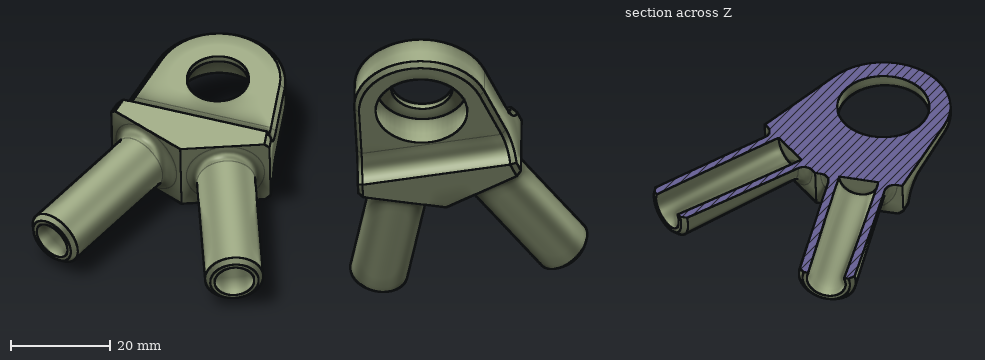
import cadquery as cq
import math

eye_diameter = 12.5
seat_diameter = 18.5
lip_thickness = 1.45
eye_outer_radius = 13.6
side_taper = 9.5
plate_thickness = 8.0
edge_chamfer = 1.0

block_thickness = 16.0
step_radius = 5.0
step_start_y = -9.8
nose_tip_y = -24.5
nose_angle = 21.4

stem_diameter = 11.8
stem_bore = 8.0
stem_length = 30.0
stem_end_chamfer = 1.0
stem_root_radius = 2.0

tilt_about_x = 3.1
turn_about_z = 0.5

half_plate = plate_thickness / 2
half_block = block_thickness / 2
taper = math.radians(side_taper)
nose = math.radians(nose_angle)

tangent_x = eye_outer_radius * math.cos(taper)
tangent_y = eye_outer_radius * math.sin(taper)

side_slope = math.tan(taper)
nose_slope = math.tan(nose)
corner_x = (tangent_x + (tangent_y - nose_tip_y) * side_slope) / (1 + nose_slope * side_slope)
corner_y = nose_tip_y + corner_x * nose_slope


def make_outline():
    """Prism with the plan shape of plate and block, at full block thickness."""
    return (
        cq.Workplane("XY")
        .workplane(offset=-half_block)
        .moveTo(0, nose_tip_y)
        .lineTo(corner_x, corner_y)
        .lineTo(tangent_x, tangent_y)
        .threePointArc((0, eye_outer_radius), (-tangent_x, tangent_y))
        .lineTo(-corner_x, corner_y)
        .close()
        .extrude(block_thickness)
    )


def make_profile():
    """Side profile of plate and block, wide enough to cover the outline."""
    step_rise = half_block - half_plate
    arc_center_z = half_plate + step_radius
    step_run = math.sqrt(step_radius**2 - (step_radius - step_rise) ** 2)
    step_end_y = step_start_y - step_run
    mid_angle = math.asin(step_run / step_radius) / 2
    mid_y = step_start_y - step_radius * math.sin(mid_angle)
    mid_z = arc_center_z - step_radius * math.cos(mid_angle)
    return (
        cq.Workplane("YZ")
        .moveTo(eye_outer_radius, -half_plate)
        .lineTo(eye_outer_radius, half_plate)
        .lineTo(step_start_y, half_plate)
        .threePointArc((mid_y, mid_z), (step_end_y, half_block))
        .lineTo(nose_tip_y, half_block)
        .lineTo(nose_tip_y, -half_block)
        .lineTo(step_end_y, -half_block)
        .threePointArc((mid_y, -mid_z), (step_start_y, -half_plate))
        .close()
        .extrude(corner_x, both=True)
    )


def make_eye():
    """Void of the eye: a mouth in the upper face over a wider seat open below."""
    mouth = cq.Workplane("XY").circle(eye_diameter / 2).extrude(half_plate)
    seat = (
        cq.Workplane("XY")
        .workplane(offset=-half_plate)
        .circle(seat_diameter / 2)
        .extrude(plate_thickness - lip_thickness)
    )
    return mouth.union(seat)


def make_body():
    """Plate and block with chamfered outer edges and the eye hole."""
    body = make_outline().intersect(make_profile())
    reach = 2 * eye_outer_radius
    outer_walls = cq.selectors.BoxSelector(
        (-reach, corner_y, -half_plate / 2), (reach, reach, half_plate / 2)
    )
    rims = body.faces(outer_walls).edges("not |Z")
    return rims.chamfer(edge_chamfer).cut(make_eye())


def stem_plane(side):
    """Plane on a nose face, centred on it, with its normal along the stem."""
    return cq.Plane(
        origin=(side * corner_x / 2, (nose_tip_y + corner_y) / 2, 0),
        xDir=(0, 0, 1),
        normal=(side * math.sin(nose), -math.cos(nose), 0),
    )


def make_root(plane):
    """Disc with a concave rim that blends a stem into its nose face."""
    outer_radius = stem_diameter / 2 + stem_root_radius
    disc = cq.Workplane(plane).circle(outer_radius).extrude(stem_root_radius)
    ring = cq.Solid.makeTorus(
        outer_radius, stem_root_radius, plane.origin + plane.zDir * stem_root_radius, plane.zDir
    )
    return disc.cut(cq.Workplane(ring))


def add_stem(body, side):
    """Add one hollow stem with a blended root and a chamfered free end."""
    plane = stem_plane(side)
    stem = (
        cq.Workplane(plane)
        .circle(stem_diameter / 2)
        .extrude(stem_length)
        .faces(cq.DirectionMinMaxSelector(plane.zDir, True))
        .chamfer(stem_end_chamfer)
    )
    bore = cq.Workplane(plane).circle(stem_bore / 2).extrude(stem_length)
    return body.union(make_root(plane)).union(stem).cut(bore)


part = make_body()
for stem_side in (-1, 1):
    part = add_stem(part, stem_side)

result = part.rotate((0, 0, 0), (1, 0, 0), tilt_about_x).rotate((0, 0, 0), (0, 0, 1), turn_about_z)